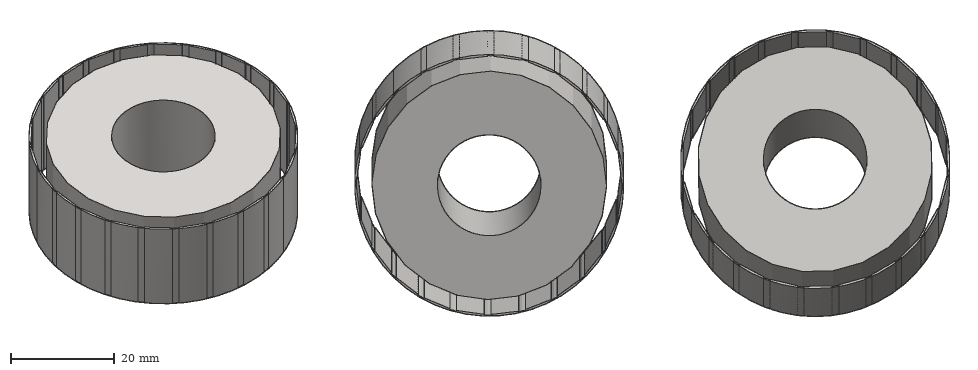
import cadquery as cq
import math

height = 20.0
side_count = 24
side_angle = 360 / side_count

core_across_flats = 45.0
bore_diameter = 20.0

shell_diameter = 52.0
opening_across_flats = 51.0
facet_width = 8.0


def make_core():
    """Prism with a flat side facing each axis direction, bored through along Z."""
    across_corners = core_across_flats / math.cos(math.pi / side_count)
    prism = (
        cq.Workplane("XY")
        .polygon(side_count, across_corners)
        .extrude(height)
        .rotate((0, 0, 0), (0, 0, 1), side_angle / 2)
    )
    bore = cq.Workplane("XY").circle(bore_diameter / 2).extrude(height)
    return prism.cut(bore)


def make_shell():
    """Round disc opened up by bars through its centre, each bar cutting two opposite facets."""
    ring = cq.Workplane("XY").circle(shell_diameter / 2).extrude(height)
    bar = cq.Workplane("XY").rect(opening_across_flats, facet_width).extrude(height)
    for i in range(side_count // 2):
        ring = ring.cut(bar.rotate((0, 0, 0), (0, 0, 1), i * side_angle))
    return ring


core = make_core()
shell = make_shell()

result = cq.Compound.makeCompound([core.solids().val(), shell.solids().val()])